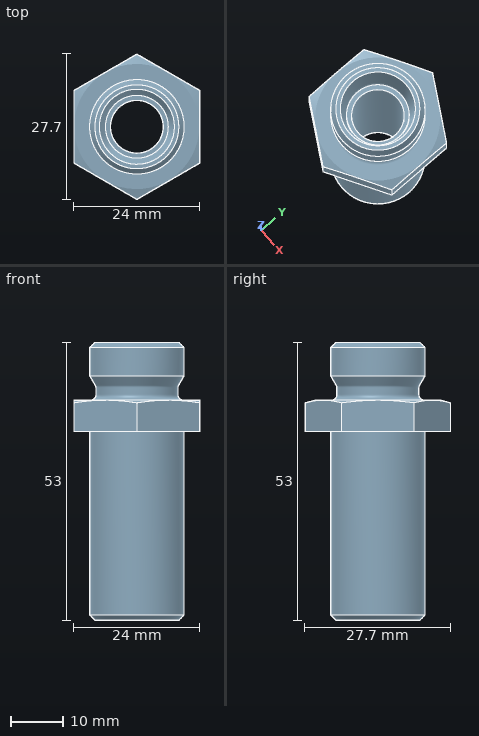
import cadquery as cq
import math

total_height = 53.0
body_diameter = 18.0
end_chamfer = 1.0

hex_across_flats = 24.0
hex_bottom = 36.0
hex_top = 42.0
hex_chamfer_diameter = 23.85
hex_chamfer_angle = 15.0

groove_diameter = 15.7
spigot_length = 6.4
groove_flank_angle = 30.0
groove_root_radius = 1.0
flank_blend_radius = 0.8

bore_diameter = 10.0
counterbore_diameter = 12.0
counterbore_depth = 7.1
mouth_diameter = 14.3
mouth_half_angle = 12.0


def drop_across(radial_step, angle_from_axis):
    """Axial length of a cone that covers the given radial step."""
    return radial_step / math.tan(math.radians(angle_from_axis))


def make_tube():
    """Chamfered cylinder running the full height."""
    tube = cq.Workplane("XY").circle(body_diameter / 2).extrude(total_height)
    return tube.faces("<Z or >Z").edges().chamfer(end_chamfer)


def make_groove():
    """Ring with a sloping upper flank and rounded corners at its floor."""
    outer_radius = body_diameter / 2
    floor_radius = groove_diameter / 2
    flank_top = total_height - spigot_length
    flank_bottom = flank_top - drop_across(outer_radius - floor_radius, groove_flank_angle)

    flank_angle = math.radians(groove_flank_angle)
    tangent_length = flank_blend_radius * math.tan(flank_angle / 2)
    blend_start = (
        floor_radius + tangent_length * math.sin(flank_angle),
        flank_bottom + tangent_length * math.cos(flank_angle),
    )
    blend_end = (floor_radius, flank_bottom - tangent_length)
    blend_center_x = floor_radius + flank_blend_radius
    blend_middle = (
        blend_center_x - flank_blend_radius * math.cos(flank_angle / 2),
        blend_end[1] + flank_blend_radius * math.sin(flank_angle / 2),
    )

    root_center = (floor_radius + groove_root_radius, hex_top + groove_root_radius)
    root_offset = groove_root_radius * math.sqrt(0.5)
    root_middle = (root_center[0] - root_offset, root_center[1] - root_offset)
    return (
        cq.Workplane("XZ")
        .moveTo(outer_radius, flank_top)
        .lineTo(*blend_start)
        .threePointArc(blend_middle, blend_end)
        .lineTo(floor_radius, root_center[1])
        .threePointArc(root_middle, (root_center[0], hex_top))
        .lineTo(outer_radius, hex_top)
        .close()
        .revolve(360, (0, 0, 0), (0, 1, 0))
    )


def make_hex_collar():
    """Hexagon with flats facing X and corners bevelled on the upper side."""
    corner_radius = hex_across_flats / math.sqrt(3)
    bevel_radius = hex_chamfer_diameter / 2
    bevel_drop = (corner_radius - bevel_radius) * math.tan(math.radians(hex_chamfer_angle))
    hexagon = (
        cq.Workplane("XY", origin=(0, 0, hex_bottom))
        .transformed(rotate=(0, 0, 90))
        .polygon(6, 2 * corner_radius)
        .extrude(hex_top - hex_bottom)
    )
    envelope = (
        cq.Workplane("XZ")
        .moveTo(0, hex_bottom)
        .lineTo(corner_radius, hex_bottom)
        .lineTo(corner_radius, hex_top - bevel_drop)
        .lineTo(bevel_radius, hex_top)
        .lineTo(0, hex_top)
        .close()
        .revolve(360, (0, 0, 0), (0, 1, 0))
    )
    return hexagon.intersect(envelope)


def make_bore():
    """Through bore, counterbore and tapered mouth as one solid of revolution."""
    bore_radius = bore_diameter / 2
    counterbore_radius = counterbore_diameter / 2
    mouth_radius = mouth_diameter / 2
    counterbore_floor = total_height - counterbore_depth
    mouth_bottom = total_height - drop_across(mouth_radius - counterbore_radius, mouth_half_angle)
    return (
        cq.Workplane("XZ")
        .lineTo(bore_radius, 0)
        .lineTo(bore_radius, counterbore_floor)
        .lineTo(counterbore_radius, counterbore_floor)
        .lineTo(counterbore_radius, mouth_bottom)
        .lineTo(mouth_radius, total_height)
        .lineTo(0, total_height)
        .close()
        .revolve(360, (0, 0, 0), (0, 1, 0))
    )


result = make_tube().cut(make_groove()).union(make_hex_collar()).cut(make_bore())